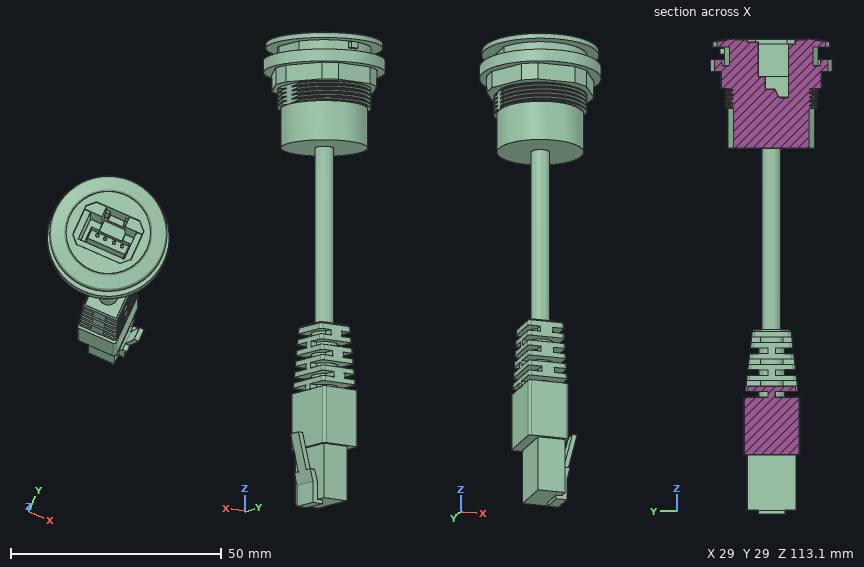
import cadquery as cq
import math


face_dia = 20.7
insert_dia = 20.05
insert_drop = 0.2
flange_dia = 27.9
flange_crown_dia = 27.4
flange_crown_depth = 0.65
flange_edge_depth = 0.9
flange_bottom = 2.0
neck_dia = 22.3
thread_root_dia = 20.92
flats_width = 20.8
body_dia = 20.7
body_bottom = 26.1

key_reach = 12.2
key_width = 2.0
key_top = 2.2
key_bottom = 3.7

gasket_dia = 29.0
gasket_top = 4.9
gasket_bore_dia = 25.35
gasket_bore_depth = 1.5
nut_top = 7.8
nut_bottom = 11.85
nut_across_flats = 24.2
nut_across_corners = 25.6

thread_pitch = 1.0
thread_tooth_root = 0.85
thread_tooth_crest = 0.25
thread_overlap = 0.05
thread_start = 11.0
thread_end = 16.6

cable_dia = 4.5
boot_top = 69.2
boot_top_x = 9.0
boot_top_y = 9.2
boot_bottom_x = 9.9
boot_bottom_y = 12.9
boot_top_chamfer = 0.4
boot_core_dia = 6.2
boot_corner = 0.65
slot_count = 6
slot_first = 71.0
slot_pitch = 2.585
slot_height = 1.3
rib_along_y_width = 3.15
rib_along_x_width = 1.8

plug_offset = -0.1
hood_x = 10.1
hood_y = 13.5
hood_top = slot_first + (slot_count - 1) * slot_pitch + slot_height
hood_bottom = 99.0
plug_x_min = -2.55
plug_x_max = 4.25
plug_y = 11.68
plug_bottom = 112.2

latch_width = 6.4
latch_tip_width = 3.2
latch_thickness = 1.4
latch_foot = 1.4
latch_bottom = 113.1
latch_bend = 108.0
latch_narrow = 105.0
latch_tip = 96.1
latch_tip_x = 8.75
latch_arm_width = 1.25

mouth_x = 15.1
mouth_y = 11.4
mouth_corner = 1.9
mouth_depth = 0.8
shelf_depth = 1.3
cavity_x = 12.0
cavity_y_min = -4.1
cavity_y_max = 3.05
cavity_depth = 9.0
pocket_x = 10.0
pocket_y_max = 1.4
pocket_depth = 12.0
notch_x = 6.0
notch_depth = 10.0
notch_step_y = 4.25
notch_step_depth = 8.0
tab_width = 1.0
tab_depth = 4.2
tab_ramp_y = 5.1
tab_ramp_depth = 6.0

trough_y_top = -0.85
trough_y_bottom = -1.87
trough_depth = 14.0
contact_count = 8
contact_dia = 0.4
contact_pitch = 1.016
contact_offset = -0.4
socket_dia = 0.75
socket_depth = 0.5
socket_y = 0.75
socket_xs = (-3.2, -1.15, 1.15, 3.2)


def disc(diameter, top, bottom):
    return cq.Workplane("XY").workplane(offset=-bottom).circle(diameter / 2).extrude(bottom - top)


def block(x_min, x_max, y_min, y_max, top, bottom):
    size = (x_max - x_min, y_max - y_min, bottom - top)
    return cq.Workplane("XY").box(*size, centered=False).translate((x_min, y_min, -bottom))


def centred_block(x_size, y_size, top, bottom):
    return block(-x_size / 2, x_size / 2, -y_size / 2, y_size / 2, top, bottom)


def flange():
    return (
        cq.Workplane("XZ")
        .moveTo(0, 0)
        .lineTo(face_dia / 2, 0)
        .lineTo(flange_crown_dia / 2, -flange_crown_depth)
        .tangentArcPoint((flange_dia / 2, -flange_edge_depth), relative=False)
        .lineTo(flange_dia / 2, -flange_bottom)
        .lineTo(0, -flange_bottom)
        .close()
        .revolve(360, (0, 0), (0, 1))
    )


def nut():
    height = nut_bottom - nut_top
    hexagon_dia = nut_across_flats / math.cos(math.pi / 6)
    trim_dia = nut_across_corners / math.cos(math.pi / 6)
    base = cq.Workplane("XY").workplane(offset=-nut_bottom)
    body = base.polygon(6, hexagon_dia).extrude(height)
    trim = base.transformed(rotate=(0, 0, 30)).polygon(6, trim_dia).extrude(height)
    return body.intersect(trim)


def flattened(solid):
    flats = centred_block(flats_width, gasket_dia, 0, body_bottom)
    return solid.intersect(flats, clean=False)


def thread():
    root = thread_root_dia / 2 - thread_overlap
    crest = neck_dia / 2
    height = thread_end - thread_start + thread_pitch
    helix = cq.Wire.makeHelix(thread_pitch, height, root)
    ridge = (
        cq.Workplane("XZ")
        .moveTo(root, -thread_tooth_root / 2)
        .lineTo(crest, -thread_tooth_crest / 2)
        .lineTo(crest, thread_tooth_crest / 2)
        .lineTo(root, thread_tooth_root / 2)
        .close()
        .sweep(cq.Workplane(helix), isFrenet=True)
        .translate((0, 0, -thread_end - thread_pitch / 2))
    )
    core = disc(thread_root_dia, thread_start - thread_pitch, thread_end + thread_pitch)
    ridged = core.union(ridge, clean=False)
    return ridged.intersect(centred_block(flats_width, gasket_dia, thread_start, thread_end), clean=False)


def housing():
    bore_bottom = gasket_top + gasket_bore_depth
    neck = flattened(disc(neck_dia, flange_bottom, bore_bottom))
    gasket = disc(gasket_dia, gasket_top, nut_top).cut(disc(gasket_bore_dia, gasket_top, bore_bottom))
    key = block(-key_width / 2, key_width / 2, 0, key_reach, key_top, key_bottom)
    return (
        disc(body_dia, flange_bottom, body_bottom)
        .union(flange())
        .union(neck)
        .union(key)
        .union(gasket)
        .union(nut())
        .cut(disc(insert_dia, 0, insert_drop))
        .union(thread(), clean=False)
    )


def contact_trough():
    half = pocket_x / 2
    return (
        cq.Workplane("YZ")
        .moveTo(trough_y_top, -pocket_depth)
        .lineTo(trough_y_bottom, -trough_depth)
        .lineTo(cavity_y_min, -trough_depth)
        .lineTo(cavity_y_min, -pocket_depth)
        .close()
        .extrude(half, both=True)
    )


def notch_tab(side):
    inner = notch_x / 2 - tab_width
    back = mouth_y / 2
    tab = (
        cq.Workplane("YZ")
        .moveTo(back, -tab_depth)
        .lineTo(tab_ramp_y, -tab_depth)
        .lineTo(notch_step_y, -tab_ramp_depth)
        .lineTo(notch_step_y, -notch_step_depth)
        .lineTo(back, -notch_step_depth)
        .close()
        .extrude(tab_width)
    )
    return tab.translate((inner if side > 0 else -inner - tab_width, 0, 0))


def jack_opening():
    half_notch = notch_x / 2
    mouth = centred_block(mouth_x, mouth_y, 0, mouth_depth).edges("|Z").chamfer(mouth_corner)
    shelf = centred_block(mouth_x, mouth_y, 0, shelf_depth).edges("|Z").chamfer(mouth_corner)
    shelf = shelf.intersect(block(-mouth_x / 2, mouth_x / 2, -mouth_y / 2, cavity_y_max, 0, shelf_depth))
    cavity = block(-cavity_x / 2, cavity_x / 2, cavity_y_min, cavity_y_max, 0, cavity_depth)
    pocket = block(-pocket_x / 2, pocket_x / 2, cavity_y_min, pocket_y_max, 0, pocket_depth)
    notch = block(-half_notch, half_notch, pocket_y_max, notch_step_y, 0, notch_depth)
    step = block(-half_notch, half_notch, pocket_y_max, mouth_y / 2, 0, notch_step_depth)
    opening = mouth.union(shelf).union(cavity).union(pocket).union(contact_trough()).union(notch).union(step)
    opening = opening.cut(notch_tab(1)).cut(notch_tab(-1))
    for x in socket_xs:
        socket = disc(socket_dia, pocket_depth, pocket_depth + socket_depth)
        opening = opening.union(socket.translate((x, socket_y, 0)))
    for index in range(contact_count):
        x = contact_offset + (index - (contact_count - 1) / 2) * contact_pitch
        length = trough_y_bottom - cavity_y_min
        contact = cq.Workplane("XZ").circle(contact_dia / 2).extrude(length)
        opening = opening.cut(contact.translate((x, trough_y_bottom, -trough_depth)))
    return opening


def boot():
    taper = (
        cq.Workplane("XY")
        .workplane(offset=-hood_top)
        .rect(boot_bottom_x, boot_bottom_y)
        .workplane(offset=hood_top - boot_top)
        .rect(boot_top_x, boot_top_y)
        .loft(combine=True)
    )
    taper = taper.edges("not(|X or |Y)").fillet(boot_corner)
    taper = taper.faces(">Z").edges().chamfer(boot_top_chamfer)
    taper = taper.translate((plug_offset, plug_offset, 0))
    for index in range(slot_count):
        top = slot_first + index * slot_pitch
        bottom = top + slot_height
        if index % 2 == 0:
            rib = centred_block(rib_along_y_width, boot_bottom_y, top, bottom)
        else:
            rib = centred_block(boot_bottom_x, rib_along_x_width, top, bottom)
        kept = rib.union(disc(boot_core_dia, top, bottom)).translate((plug_offset, plug_offset, 0))
        slot = centred_block(2 * hood_x, 2 * hood_y, top, bottom).cut(kept)
        taper = taper.cut(slot)
    return taper


def hood():
    body = centred_block(hood_x, hood_y, hood_top, hood_bottom).edges("|Z").fillet(boot_corner)
    return body.translate((plug_offset, plug_offset, 0))


def latch():
    foot_x_max = plug_x_max + latch_thickness
    slope = (latch_tip_x - foot_x_max) / (latch_bend - latch_tip)
    narrow_x = foot_x_max + slope * (latch_bend - latch_narrow)
    root = (
        cq.Workplane("XZ")
        .moveTo(plug_x_max - latch_foot, -latch_bottom)
        .lineTo(foot_x_max, -latch_bottom)
        .lineTo(foot_x_max, -latch_bend)
        .lineTo(narrow_x, -latch_narrow)
        .lineTo(narrow_x - latch_arm_width, -latch_narrow)
        .lineTo(plug_x_max, -latch_bend)
        .lineTo(plug_x_max, -plug_bottom)
        .lineTo(plug_x_max - latch_foot, -plug_bottom)
        .close()
        .extrude(latch_width / 2, both=True)
    )
    tip = (
        cq.Workplane("XZ")
        .moveTo(narrow_x, -latch_narrow)
        .lineTo(latch_tip_x, -latch_tip)
        .lineTo(latch_tip_x - latch_arm_width, -latch_tip)
        .lineTo(narrow_x - latch_arm_width, -latch_narrow)
        .close()
        .extrude(latch_tip_width / 2, both=True)
    )
    return root.union(tip).translate((0, plug_offset, 0))


def plug():
    body = block(plug_x_min, plug_x_max, -plug_y / 2, plug_y / 2, hood_bottom, plug_bottom)
    return body.translate((0, plug_offset, 0)).union(latch())


cable = disc(cable_dia, body_bottom, boot_top)
lower_parts = cable.union(boot()).union(hood()).union(plug())
result = housing().cut(jack_opening(), clean=False).union(lower_parts, clean=False)